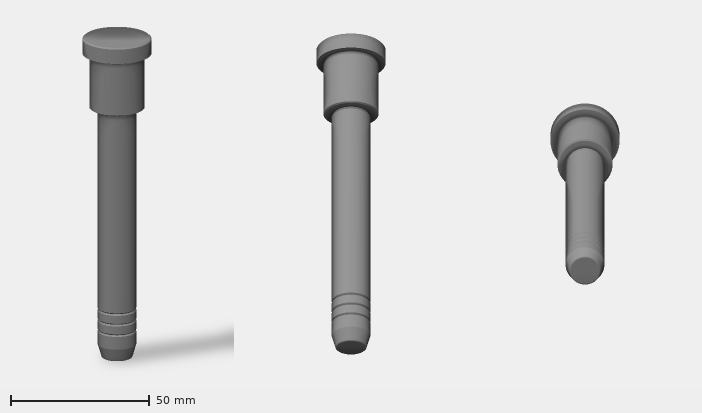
import cadquery as cq

total_length = 122.0

head_diameter = 25.0
head_height = 6.0
head_chamfer = 0.5

collar_diameter = 20.0
collar_bottom_depth = 27.0
collar_relief_diameter = 19.3
collar_relief_fillet = 0.2
collar_chamfer_width = 0.6
collar_chamfer_height = 0.4

shaft_diameter = 14.0
shaft_relief_diameter = 13.0
relief_width = 1.1

groove_count = 3
groove_pitch = 4.0
groove_width = 1.0
groove_diameter = 13.0
top_groove_height = 17.9

tip_length = 5.0
tip_diameter = 11.1
tip_fillet = 0.6


def cylinder(diameter, bottom, top):
    """Solid cylinder on the Z axis between two heights."""
    return cq.Workplane("XY").workplane(offset=bottom).circle(diameter / 2).extrude(top - bottom)


def ring_groove(outer_diameter, floor_diameter, bottom, width):
    """Ring to cut away to leave a square groove."""
    outer = cylinder(outer_diameter, bottom, bottom + width)
    return outer.cut(cylinder(floor_diameter, bottom, bottom + width))


def v_groove(outer_diameter, floor_diameter, bottom, width):
    """Ring to cut away to leave a groove of triangular section."""
    outer_radius = outer_diameter / 2
    section = (
        cq.Workplane("XZ")
        .moveTo(outer_radius, bottom)
        .lineTo(floor_diameter / 2, bottom + width / 2)
        .lineTo(outer_radius, bottom + width)
        .close()
    )
    return section.revolve(360, (0, 0, 0), (0, 1, 0))


head_bottom = total_length - head_height
collar_bottom = total_length - collar_bottom_depth

head = cylinder(head_diameter, head_bottom, total_length).faces(">Z").edges().chamfer(head_chamfer)

collar = cylinder(collar_diameter, collar_bottom, head_bottom)
collar = collar.faces("<Z").edges().chamfer(collar_chamfer_height, collar_chamfer_width)
collar = collar.cut(
    ring_groove(collar_diameter, collar_relief_diameter, head_bottom - relief_width, relief_width)
    .faces(">Z")
    .edges(cq.selectors.RadiusNthSelector(0))
    .fillet(collar_relief_fillet)
)

shaft = cylinder(shaft_diameter, tip_length, collar_bottom)
shaft = shaft.cut(
    ring_groove(shaft_diameter, shaft_relief_diameter, collar_bottom - relief_width, relief_width)
)
for index in range(groove_count):
    groove_bottom = top_groove_height - index * groove_pitch
    shaft = shaft.cut(v_groove(shaft_diameter, groove_diameter, groove_bottom, groove_width))

tip = (
    cq.Workplane("XY")
    .circle(tip_diameter / 2)
    .workplane(offset=tip_length)
    .circle(shaft_diameter / 2)
    .loft(ruled=True)
    .faces("<Z")
    .edges()
    .fillet(tip_fillet)
)

result = head.union(collar).union(shaft).union(tip)